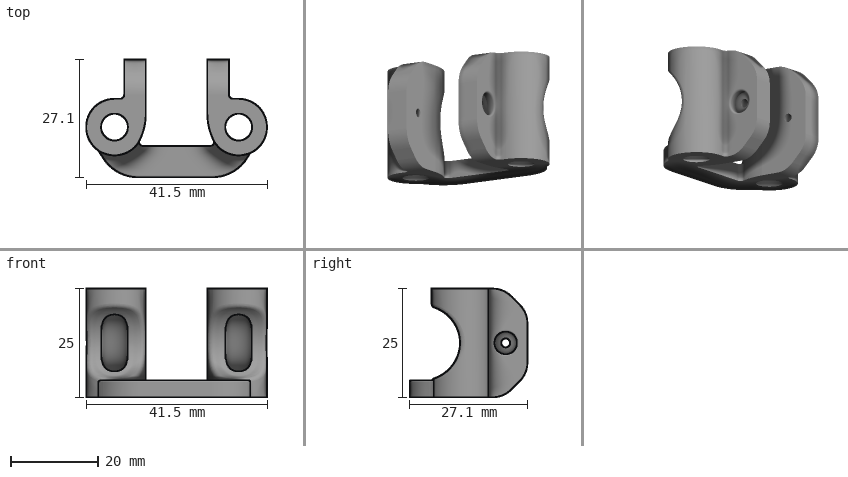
import cadquery as cq
import math

overall_width = 41.5
height = 25.0
barrel_radius = 6.5
bore_diameter = 6.1
barrel_x = overall_width / 2 - barrel_radius
mid_z = height / 2

plate_inner_x = 7.0
plate_thickness = 5.02
plate_outer_x = plate_inner_x + plate_thickness
plate_end_y = 15.52
plate_chamfer = 5.5
plate_corner_radius = 6.0
plate_root_radius = 0.9
inner_blend_radius = 14.0

screw_y = 10.5
screw_diameter = 2.0
recess_diameter = 5.2
recess_rim_diameter = 6.1
recess_rim_radius = (recess_rim_diameter - recess_diameter) / 2
recess_depth = 2.0

scoop_radius = 8.5
scoop_lip_radius = 1.0

bar_height = mid_z - scoop_radius
bar_offset_x = -0.35
bar_front_y = -11.55
bar_back_y = -4.27
bar_flat_half = 8.45
bar_corner_radius = 9.5
bar_corner_angle = math.radians(58)
bar_end_length = 2.5
bar_edge_radius = 0.5
bar_root_radius = 0.85


def make_barrel_and_plate():
    """Right-hand barrel blended into its plate, extruded over the full height."""
    blend_x = plate_inner_x + inner_blend_radius
    center_distance = inner_blend_radius - barrel_radius
    blend_y = math.sqrt(center_distance**2 - (blend_x - barrel_x) ** 2)

    reach = barrel_radius / center_distance
    tangent_point = (barrel_x - (blend_x - barrel_x) * reach, -blend_y * reach)
    blend_angle = math.asin(blend_y / center_distance)
    blend_middle = (
        blend_x - inner_blend_radius * math.cos(blend_angle / 2),
        blend_y - inner_blend_radius * math.sin(blend_angle / 2),
    )
    body = (
        cq.Workplane("XY")
        .moveTo(plate_inner_x, plate_end_y)
        .lineTo(plate_inner_x, blend_y)
        .threePointArc(blend_middle, tangent_point)
        .threePointArc((barrel_x + barrel_radius, 0), (barrel_x, barrel_radius))
        .lineTo(plate_outer_x, barrel_radius)
        .lineTo(plate_outer_x, plate_end_y)
        .close()
        .extrude(height)
    )
    root = cq.selectors.NearestToPointSelector((plate_outer_x, barrel_radius, mid_z))
    return body.edges("|Z").edges(root).fillet(plate_root_radius)


def round_plate_end(body):
    """Bevel the two far corners of the plate and round the resulting edges."""
    body = body.faces(">Y").edges("|X").chamfer(plate_chamfer)
    bevel_ends = cq.selectors.BoxSelector(
        (0, plate_end_y - plate_chamfer - 0.4, -0.4),
        (barrel_x, plate_end_y + 0.4, height + 0.4),
    )
    return body.edges("|X").edges(bevel_ends).fillet(plate_corner_radius)


def scoop_barrel(body):
    """Scoop the front of the barrel with a cylinder along X and round its lip."""
    scoop = (
        cq.Workplane("YZ")
        .center(-scoop_radius, mid_z)
        .circle(scoop_radius)
        .extrude(overall_width)
    )
    body = body.cut(scoop)
    scoop_face = cq.selectors.NearestToPointSelector((barrel_x, 0, mid_z))
    return body.faces(scoop_face).edges().fillet(scoop_lip_radius)


def cut_screw_hole(body):
    """Through hole with a round-rimmed recess in the outer face of the plate."""
    hole = (
        cq.Workplane("YZ")
        .center(screw_y, mid_z)
        .circle(screw_diameter / 2)
        .extrude(overall_width)
    )
    recess = (
        cq.Workplane("YZ", origin=(plate_outer_x - recess_depth, screw_y, mid_z))
        .circle(recess_diameter / 2)
        .extrude(recess_depth)
    )
    rim = cq.selectors.NearestToPointSelector((plate_outer_x, screw_y, mid_z))
    return body.cut(hole).cut(recess).edges(rim).fillet(recess_rim_radius)


def make_bar():
    """Flat bar with large front corners whose ends run into the barrels."""

    def corner_point(angle):
        return (
            bar_flat_half + bar_corner_radius * math.sin(angle),
            bar_front_y + bar_corner_radius * (1 - math.cos(angle)),
        )

    def mirrored(point):
        return (-point[0], point[1])

    arc_middle = corner_point(bar_corner_angle / 2)
    arc_end = corner_point(bar_corner_angle)
    tip = (
        arc_end[0] + bar_end_length * math.cos(bar_corner_angle),
        arc_end[1] + bar_end_length * math.sin(bar_corner_angle),
    )
    bar = (
        cq.Workplane("XY")
        .moveTo(-bar_flat_half, bar_front_y)
        .lineTo(bar_flat_half, bar_front_y)
        .threePointArc(arc_middle, arc_end)
        .lineTo(*tip)
        .lineTo(barrel_x, bar_back_y)
        .lineTo(-barrel_x, bar_back_y)
        .lineTo(*mirrored(tip))
        .lineTo(*mirrored(arc_end))
        .threePointArc(mirrored(arc_middle), (-bar_flat_half, bar_front_y))
        .close()
        .extrude(bar_height)
    )
    bar = bar.faces("<Y").edges(">Z").fillet(bar_edge_radius)
    return bar.translate((bar_offset_x, 0, 0))


def fillet_bar_roots(body):
    """Round the corners between the bar's back edge and the barrels."""
    corner_x = barrel_x - math.sqrt(barrel_radius**2 - bar_back_y**2)
    for side in (-1, 1):
        corner = (side * corner_x, bar_back_y, bar_height / 2)
        root = cq.selectors.NearestToPointSelector(corner)
        body = body.edges("|Z").edges(root).fillet(bar_root_radius)
    return body


right_side = cut_screw_hole(scoop_barrel(round_plate_end(make_barrel_and_plate())))
left_side = right_side.mirror("YZ")
result = fillet_bar_roots(right_side.union(left_side).union(make_bar()))

bores = (
    cq.Workplane("XY")
    .pushPoints([(-barrel_x, 0), (barrel_x, 0)])
    .circle(bore_diameter / 2)
    .extrude(height)
)
result = result.cut(bores)